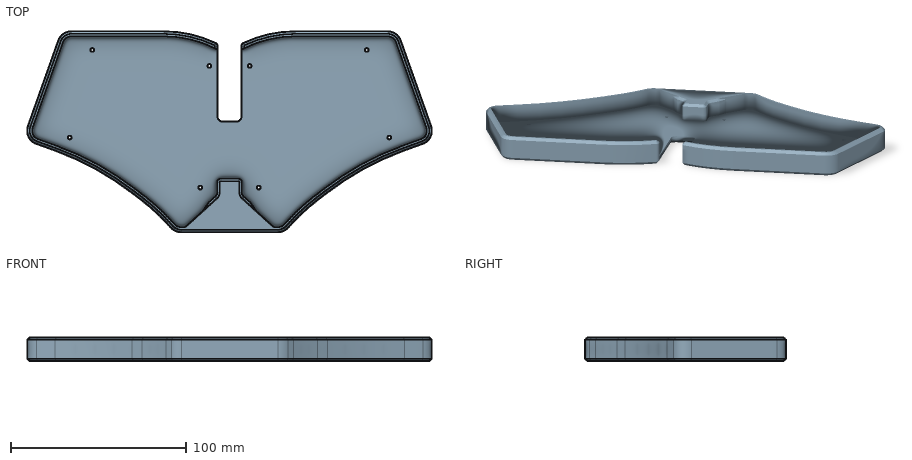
import cadquery as cq
import math

HEIGHT = 13.6
FLOOR = 4.0
WALL = 2.9
RIM_CHAMFER = 1.5
HALF_DEPTH = 57.44
HALF_WIDTH = 115.645

CORNER_RADIUS = 8.0
CORNER_OVERHANG = 2.205
BACK_CORNER = (-95.95, HALF_DEPTH, CORNER_RADIUS)
WING_CORNER = (-HALF_WIDTH - CORNER_OVERHANG, -4.2, CORNER_RADIUS)
UPPER_BEND = (-75.9, -19.4, 164.0)
LOWER_BEND = (-42.8, -44.8, 112.0)
FRONT_CORNER = (-31.0, -HALF_DEPTH, CORNER_RADIUS)

BACK_ARC_START_X = -37.6
BACK_ARC_RADIUS = 69.0

SLOT_HALF_WIDTH = 6.8
SLOT_END_Y = 5.9
SLOT_CORNER_RADIUS = 2.8
SLOT_MOUTH_RADIUS = 2.0

HOLE_DIAMETER = 2.0
HOLE_POSITIONS = [(78.4, 46.7), (11.5, 37.6), (91.3, -3.3), (16.7, -31.9)]

WEB_TIP = (-5.9, -36.9)
WEB_SLOPE = 0.907
WEB_CORNER_RADIUS = 2.5
NOSE_CHAMFER = 1.4
NOSE_HALF_WIDTH = 7.0
NOSE_BACK_Y = -26.8
NOSE_CORNER_RADIUS = 2.0
NOSE_ROOT_RADIUS = 3.0
NOSE_SHOULDER_X = -12.2
NOSE_FOOT_X = -15.3


def web_line_y(x):
    """Position in Y of the slanted left side of the web at x."""
    return WEB_TIP[1] + WEB_SLOPE * (x - WEB_TIP[0])


def web_line_x(y):
    """Position in X of the slanted left side of the web at y."""
    return WEB_TIP[0] + (y - WEB_TIP[1]) / WEB_SLOPE


def rounding(before, corner, after):
    """Start, middle and end points of the arc that rounds a corner."""
    x, y, radius = corner
    to_before = cq.Vector(before[0] - x, before[1] - y).normalized()
    to_after = cq.Vector(after[0] - x, after[1] - y).normalized()
    half_angle = to_before.getAngle(to_after) / 2
    reach = radius / math.tan(half_angle)
    bisector = (to_before + to_after).normalized()
    vertex = cq.Vector(x, y)
    middle = vertex + bisector * (radius / math.sin(half_angle) - radius)
    points = (vertex + to_before * reach, middle, vertex + to_after * reach)
    return [point.toTuple()[:2] for point in points]


def mirrored(point):
    return (-point[0], point[1])


def back_arc_y(x):
    run = x - BACK_ARC_START_X
    return HALF_DEPTH - BACK_ARC_RADIUS + math.sqrt(BACK_ARC_RADIUS**2 - run**2)


def outline():
    """Closed outer wire; its back arcs meet on the centre line, inside the slot."""
    arc_start = (BACK_ARC_START_X, HALF_DEPTH)
    arc_middle = (BACK_ARC_START_X / 2, back_arc_y(BACK_ARC_START_X / 2))
    arc_end = (0, back_arc_y(0))
    front_middle = (0, -HALF_DEPTH)
    corners = [BACK_CORNER, WING_CORNER, UPPER_BEND, LOWER_BEND, FRONT_CORNER]
    path = [arc_start] + corners + [front_middle]
    arcs = [rounding(*path[i:i + 3]) for i in range(len(corners))]

    wire = cq.Workplane("XY").moveTo(*arc_end).threePointArc(arc_middle, arc_start)
    for start, middle, end in arcs:
        wire = wire.lineTo(*start).threePointArc(middle, end)
    for start, middle, end in reversed(arcs):
        wire = wire.lineTo(*mirrored(end)).threePointArc(mirrored(middle), mirrored(start))
    wire = wire.lineTo(*mirrored(arc_start)).threePointArc(mirrored(arc_middle), arc_end)
    return wire.close()


def symmetric_prism(left_points):
    """Upright prism from floor to rim, mirrored about the YZ plane."""
    right_points = [mirrored(point) for point in reversed(left_points)]
    profile = cq.Workplane("XY").workplane(offset=FLOOR).polyline(left_points + right_points)
    return profile.close().extrude(HEIGHT - FLOOR)


def web():
    return symmetric_prism([WEB_TIP, (web_line_x(-HALF_DEPTH), -HALF_DEPTH)])


def nose():
    slant_offset = NOSE_CHAMFER * math.hypot(1, WEB_SLOPE)
    root = (-NOSE_HALF_WIDTH, web_line_y(-NOSE_HALF_WIDTH) + slant_offset)
    shoulder = (NOSE_SHOULDER_X, web_line_y(NOSE_SHOULDER_X) + slant_offset)
    foot = (NOSE_FOOT_X, web_line_y(NOSE_FOOT_X))
    back = (-NOSE_HALF_WIDTH, NOSE_BACK_Y)
    body = symmetric_prism([back, root, shoulder, foot])
    for corner, radius in ((back, NOSE_CORNER_RADIUS), (root, NOSE_ROOT_RADIUS)):
        for x, y in (corner, mirrored(corner)):
            body = body.edges("|Z").edges(cq.NearestToPointSelector((x, y, HEIGHT / 2))).fillet(radius)
    return body.faces(">Z").chamfer(NOSE_CHAMFER)


def pocket():
    space = outline().offset2D(-WALL).extrude(HEIGHT).translate((0, 0, FLOOR))
    space = space.cut(web())
    pocket_front_y = WALL - HALF_DEPTH
    corner = (web_line_x(pocket_front_y), pocket_front_y)
    for x, y in (corner, mirrored(corner)):
        space = space.edges("|Z").edges(cq.NearestToPointSelector((x, y, HEIGHT / 2))).fillet(WEB_CORNER_RADIUS)
    return space.cut(nose())


def slot():
    length = 2 * HALF_DEPTH
    cutter = cq.Workplane("XY").box(2 * SLOT_HALF_WIDTH, length, HEIGHT, centered=(True, False, False))
    return cutter.edges("|Z and <Y").fillet(SLOT_CORNER_RADIUS).translate((0, SLOT_END_Y, 0))


def holes():
    points = HOLE_POSITIONS + [mirrored(point) for point in HOLE_POSITIONS]
    return cq.Workplane("XY").pushPoints(points).circle(HOLE_DIAMETER / 2).extrude(HEIGHT)


def blank():
    """Solid plate with the slot, its top and bottom edges chamfered all around."""
    plate = outline().extrude(HEIGHT).cut(slot())
    mouth = (-SLOT_HALF_WIDTH, back_arc_y(-SLOT_HALF_WIDTH))
    for x, y in (mouth, mirrored(mouth)):
        plate = plate.edges("|Z").edges(cq.NearestToPointSelector((x, y, HEIGHT / 2))).fillet(SLOT_MOUTH_RADIUS)
    return plate.faces("<Z or >Z").chamfer(RIM_CHAMFER)


result = blank().cut(pocket()).cut(holes())